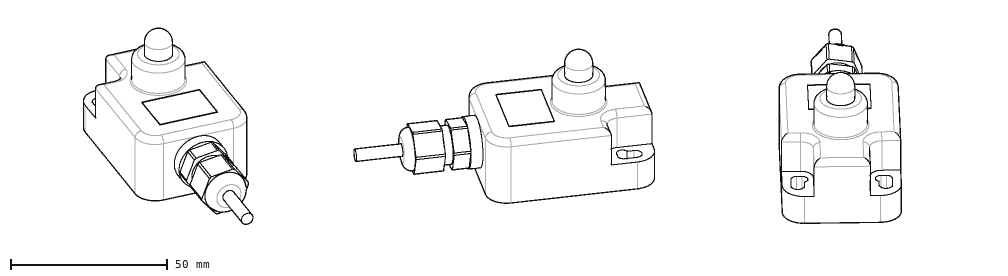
import cadquery as cq
import math

body_length = 55.0
body_width = 38.0
body_height = 23.1
body_corner_radius = 6.9
top_edge_radius = 2.1

ear_length = 15.45
ear_width = 10.05
ear_height = 10.05
ear_inner_radius = 4.0

slot_start = 4.4
slot_end = 12.3
slot_width = 4.3
slot_edge_distance = 2.8
cross_slot_width = 3.7
cross_slot_length = 5.4

label_start = 32.0
label_end = 46.8
label_width = 19.9
label_depth = 0.2

plunger_x = 22.0
guide_radius = 8.5
guide_height = 10.0
guide_top_radius = 1.9
guide_root_radius = 0.5
pin_radius = 9.0 / 2
total_height = 42.0

gland_z = 12.5
collar_radius = 8.4
collar_end = 58.9
hex_across_flats = 14.5
hex_corner_radius = 8.2
hex_tilt = 8.9
body_hex_end = 64.3
neck_radius = 12.6 / 2
neck_end = 67.1
nut_end = 76.7
dome_radius = 7.0
dome_edge_radius = 2.8
dome_end = 79.7
cable_radius = 4.1 / 2
total_length = 94.8


def make_housing():
    housing = (
        cq.Workplane("XY")
        .box(body_length, body_width, body_height, centered=(False, True, False))
        .edges("|Z")
        .fillet(body_corner_radius)
    )
    for side in (-1, 1):
        step = (
            cq.Workplane("XY", origin=(0, side * body_width / 2, ear_height))
            .rect(2 * ear_length, 2 * ear_width)
            .extrude(body_height)
            .edges("|Z")
            .fillet(ear_inner_radius)
        )
        housing = housing.cut(step)
    return housing.faces(">Z").edges().fillet(top_edge_radius)


def make_keyhole(side):
    edge_y = body_width / 2 - slot_edge_distance
    slot = (
        cq.Workplane("XY")
        .center((slot_start + slot_end) / 2, side * (edge_y - slot_width / 2))
        .slot2D(slot_end - slot_start, slot_width)
        .extrude(ear_height)
    )
    cross_slot = (
        cq.Workplane("XY")
        .center(slot_end - cross_slot_width / 2, side * (edge_y - cross_slot_length / 2))
        .slot2D(cross_slot_length, cross_slot_width, 90)
        .extrude(ear_height)
    )
    return slot.union(cross_slot)


def make_label_recess():
    return (
        cq.Workplane("XY", origin=((label_start + label_end) / 2, 0, body_height - label_depth))
        .rect(label_end - label_start, label_width)
        .extrude(label_depth)
    )


def make_plunger():
    """Half section in radius and height, revolved about the vertical plunger axis."""
    guide_top = body_height + guide_height
    dome_base = total_height - pin_radius
    diagonal = math.sqrt(0.5)
    profile = (
        cq.Workplane("XZ", origin=(plunger_x, 0, 0))
        .moveTo(0, ear_height)
        .lineTo(guide_radius + guide_root_radius, ear_height)
        .lineTo(guide_radius + guide_root_radius, body_height)
        .radiusArc((guide_radius, body_height + guide_root_radius), guide_root_radius)
        .lineTo(guide_radius, guide_top - guide_top_radius)
        .radiusArc((guide_radius - guide_top_radius, guide_top), -guide_top_radius)
        .lineTo(pin_radius, guide_top)
        .lineTo(pin_radius, dome_base)
        .threePointArc((pin_radius * diagonal, dome_base + pin_radius * diagonal), (0, total_height))
        .close()
    )
    return profile.revolve(360, (0, 0, 0), (0, 1, 0))


def gland_plane(x):
    return cq.Workplane("YZ", origin=(x, 0, gland_z))


def gland_cylinder(start, end, radius):
    return gland_plane(start).circle(radius).extrude(end - start)


def gland_hexagon(start, end):
    """Tilted hexagonal section with its corners turned round."""
    hexagon = (
        gland_plane(start)
        .transformed(rotate=(0, 0, hex_tilt))
        .polygon(6, hex_across_flats / math.cos(math.pi / 6))
        .extrude(end - start)
    )
    return hexagon.intersect(gland_cylinder(start, end, hex_corner_radius))


def make_gland():
    dome = gland_cylinder(nut_end, dome_end, dome_radius).faces(">X").edges().fillet(dome_edge_radius)
    collar_start = body_length - top_edge_radius
    return (
        gland_cylinder(collar_start, collar_end, collar_radius)
        .union(gland_hexagon(collar_end, body_hex_end))
        .union(gland_cylinder(body_hex_end, neck_end, neck_radius))
        .union(gland_hexagon(neck_end, nut_end))
        .union(dome)
        .union(gland_cylinder(dome_end, total_length, cable_radius))
    )


result = make_housing()
for ear_side in (-1, 1):
    result = result.cut(make_keyhole(ear_side))
result = result.cut(make_label_recess()).union(make_plunger()).union(make_gland())